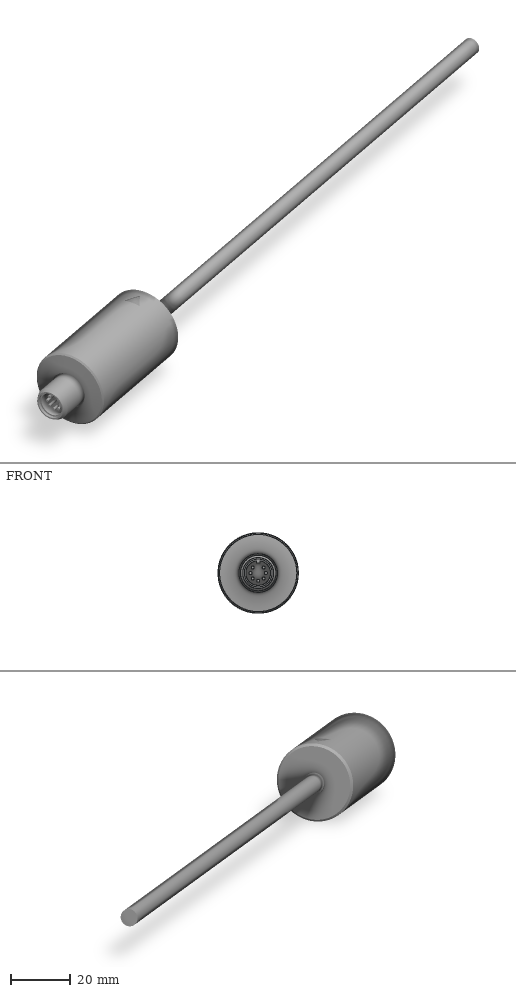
import cadquery as cq
import math

TOTAL_LENGTH = 260.0
FRONT_Y = -TOTAL_LENGTH / 2
TIP_Y = TOTAL_LENGTH / 2

BODY_RADIUS = 27.0 / 2
BODY_CHAMFER = 0.8
FRONT_CHAMFER = 0.5
BODY_BACK_OFFSET = 59.0
BODY_BACK_Y = FRONT_Y + BODY_BACK_OFFSET
CONNECTOR_LENGTH = 11.2
FRONT_CONE_DEPTH = 0.8
CONNECTOR_BASE_Y = FRONT_Y + CONNECTOR_LENGTH
CONE_EDGE_Y = CONNECTOR_BASE_Y + FRONT_CONE_DEPTH

ROD_RADIUS = 6.0 / 2
COLLAR_RADIUS = 7.3 / 2
COLLAR_LENGTH = 0.8

CONNECTOR_RADIUS = 12.0 / 2
BASE_GROOVE_RADIUS = 13.0 / 2
BASE_GROOVE_DEPTH = 0.8
MOUTH_RADIUS = 10.5 / 2
MOUTH_CHAMFER_LENGTH = 1.5
RIM_RECESS_RADIUS = 9.4 / 2
RIM_RECESS_DEPTH = 1.0
SOCKET_RADIUS = 8.3 / 2
SOCKET_DEPTH = 9.0
PIN_ROOT = 0.5
PIN_RADIUS = 1.0 / 2
PIN_CIRCLE_RADIUS = 2.5
PIN_POSITIONS = 8
KEY_POSITION = 2
PIN_RECESS = 2.0
KEY_WIDTH = 1.0
KEY_HEIGHT = 0.8

MARK_WIDTH = 6.0
MARK_LENGTH = 5.0
MARK_TIP_OFFSET = 3.6
MARK_DEPTH = 0.3


def make_revolved_shell():
    """Turned outline of the rod, collar, housing and connector."""
    profile = [
        (0, FRONT_Y),
        (MOUTH_RADIUS, FRONT_Y),
        (CONNECTOR_RADIUS, FRONT_Y + MOUTH_CHAMFER_LENGTH),
        (CONNECTOR_RADIUS, CONNECTOR_BASE_Y + BASE_GROOVE_DEPTH),
        (BASE_GROOVE_RADIUS, CONNECTOR_BASE_Y + BASE_GROOVE_DEPTH),
        (BASE_GROOVE_RADIUS, CONNECTOR_BASE_Y),
        (BODY_RADIUS - FRONT_CHAMFER, CONE_EDGE_Y),
        (BODY_RADIUS, CONE_EDGE_Y + FRONT_CHAMFER),
        (BODY_RADIUS, BODY_BACK_Y - BODY_CHAMFER),
        (BODY_RADIUS - BODY_CHAMFER, BODY_BACK_Y),
        (COLLAR_RADIUS, BODY_BACK_Y),
        (COLLAR_RADIUS, BODY_BACK_Y + COLLAR_LENGTH),
        (ROD_RADIUS, BODY_BACK_Y + COLLAR_LENGTH),
        (ROD_RADIUS, TIP_Y),
        (0, TIP_Y),
    ]
    return cq.Workplane("XY").polyline(profile).close().revolve(360, (0, 0, 0), (0, 1, 0))


def make_cylinder(radius, start_y, end_y, x=0.0, z=0.0):
    """Cylinder along Y between two stations."""
    return cq.Workplane(
        cq.Solid.makeCylinder(radius, end_y - start_y, cq.Vector(x, start_y, z), cq.Vector(0, 1, 0))
    )


def make_contacts():
    """Ring of pins standing on the socket floor, leaving the place under the key empty."""
    contacts = cq.Workplane("XY")
    for index in range(PIN_POSITIONS):
        if index == KEY_POSITION:
            continue
        angle = 2 * math.pi * index / PIN_POSITIONS
        pin = make_cylinder(
            PIN_RADIUS,
            FRONT_Y + PIN_RECESS,
            FRONT_Y + SOCKET_DEPTH + PIN_ROOT,
            PIN_CIRCLE_RADIUS * math.cos(angle),
            PIN_CIRCLE_RADIUS * math.sin(angle),
        )
        contacts = contacts.add(pin)
    return contacts.combine()


def make_key():
    """Polarising rib along the top of the socket wall, embedded in the wall."""
    wall_middle = (SOCKET_RADIUS + CONNECTOR_RADIUS) / 2
    bottom = SOCKET_RADIUS - KEY_HEIGHT
    return cq.Workplane("XY").box(
        KEY_WIDTH, SOCKET_DEPTH - RIM_RECESS_DEPTH, wall_middle - bottom, centered=(True, False, False)
    ).translate((0, FRONT_Y + RIM_RECESS_DEPTH, bottom))


def make_mark():
    """Triangular cutter pointing toward the rod."""
    tip_y = BODY_BACK_Y - MARK_TIP_OFFSET
    base_y = tip_y - MARK_LENGTH
    corners = [(0, tip_y), (-MARK_WIDTH / 2, base_y), (MARK_WIDTH / 2, base_y)]
    prism = cq.Workplane("XY").polyline(corners).close().extrude(BODY_RADIUS)
    core = make_cylinder(BODY_RADIUS - MARK_DEPTH, base_y, tip_y)
    return prism.cut(core)


socket = make_cylinder(SOCKET_RADIUS, FRONT_Y, FRONT_Y + SOCKET_DEPTH)
rim_recess = make_cylinder(RIM_RECESS_RADIUS, FRONT_Y, FRONT_Y + RIM_RECESS_DEPTH)
hollow_shell = make_revolved_shell().cut(socket).cut(rim_recess)
result = hollow_shell.union(make_contacts()).union(make_key()).cut(make_mark())